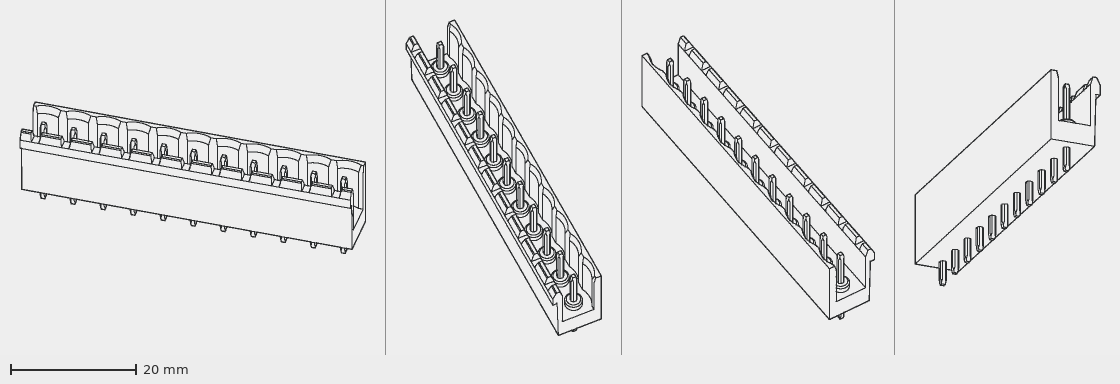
import cadquery as cq

LENGTH = 55.0
PIN_COUNT = 11
PITCH = LENGTH / PIN_COUNT

HOUSING_HEIGHT = 12.05
FLOOR_HEIGHT = 3.45
BACK_WALL = 1.3
BACK_WALL_RIM = 1.0
BACK_LEAD_IN_Z = 10.8
LATCH_WALL_INNER_Y = -6.9
OUTER_FOOT_Y = -7.6
OUTER_SHOULDER_Y = -7.8

HOOK_Y = -8.6
HOOK_UNDERSIDE_Z = 9.1
HOOK_SLOPE_Z = 10.7
CREST_INNER_Y = -7.3
CREST_OUTER_Y = -7.85
CREST_CHAMFER = 0.15

NOTCH_TOP_WIDTH = 1.7
NOTCH_FLOOR_WIDTH = 1.2

PIN_Y = -3.75
PIN_WIDTH = 1.05
PIN_EDGE_CHAMFER = 0.3
PIN_BOTTOM_Z = -3.95
PIN_TOP_Z = 11.05
TIP_LENGTH = 0.95
TIP_INSET = 0.2
COLLAR_DIAMETER = 2.85
COLLAR_TOP_Z = 4.6
COLLAR_CHAMFER = 0.3

RECESS_RADIUS = 3.7
RECESS_DEPTH = 0.45
RECESS_RIM_FLARE = 0.45
RECESS_AXIS_Y = RECESS_DEPTH - BACK_WALL - RECESS_RADIUS
RECESS_RIM_RADIUS = RECESS_RADIUS + RECESS_RIM_FLARE

pin_positions = [(i - (PIN_COUNT - 1) / 2) * PITCH for i in range(PIN_COUNT)]


def make_housing():
    """U-shaped section with a hooked latch wall, extruded along X."""
    section = [
        (0, 0),
        (0, HOUSING_HEIGHT),
        (-BACK_WALL_RIM, HOUSING_HEIGHT),
        (-BACK_WALL, BACK_LEAD_IN_Z),
        (-BACK_WALL, FLOOR_HEIGHT),
        (LATCH_WALL_INNER_Y, FLOOR_HEIGHT),
        (LATCH_WALL_INNER_Y, HOOK_SLOPE_Z),
        (CREST_INNER_Y, HOUSING_HEIGHT),
        (CREST_OUTER_Y, HOUSING_HEIGHT),
        (CREST_OUTER_Y - CREST_CHAMFER, HOUSING_HEIGHT - CREST_CHAMFER),
        (HOOK_Y, HOOK_SLOPE_Z),
        (HOOK_Y, HOOK_UNDERSIDE_Z),
        (OUTER_SHOULDER_Y, HOOK_UNDERSIDE_Z),
        (OUTER_FOOT_Y, 0),
    ]
    return cq.Workplane("YZ").polyline(section).close().extrude(LENGTH / 2, both=True)


def make_recess(x):
    """Back half of a cylinder that flares to a cone at the rim of the wall."""
    profile = [
        (0, FLOOR_HEIGHT),
        (RECESS_RADIUS, FLOOR_HEIGHT),
        (RECESS_RADIUS, BACK_LEAD_IN_Z),
        (RECESS_RIM_RADIUS, HOUSING_HEIGHT),
        (0, HOUSING_HEIGHT),
    ]
    half_turn = cq.Workplane("XZ").polyline(profile).close().revolve(180, (0, 0), (0, 1))
    return half_turn.translate((x, RECESS_AXIS_Y, 0))


def make_notch(x):
    """Trapezoidal cut across the hook crest."""
    profile = [
        (x - NOTCH_TOP_WIDTH / 2, HOUSING_HEIGHT),
        (x + NOTCH_TOP_WIDTH / 2, HOUSING_HEIGHT),
        (x + NOTCH_FLOOR_WIDTH / 2, HOOK_SLOPE_Z),
        (x - NOTCH_FLOOR_WIDTH / 2, HOOK_SLOPE_Z),
    ]
    notch = cq.Workplane("XZ", origin=(0, LATCH_WALL_INNER_Y, 0)).polyline(profile).close()
    return notch.extrude(LATCH_WALL_INNER_Y - HOOK_Y)


def make_pin(x):
    """Square pin with chamfered long edges, tapered tips and a round collar."""
    pin_base = cq.Workplane("XY", origin=(x, PIN_Y, PIN_BOTTOM_Z)).rect(PIN_WIDTH, PIN_WIDTH)
    square_bar = pin_base.extrude(PIN_TOP_Z - PIN_BOTTOM_Z)
    tapered_bar = square_bar.faces("<Z or >Z").chamfer(TIP_LENGTH, TIP_INSET)
    pin = tapered_bar.intersect(square_bar.edges("|Z").chamfer(PIN_EDGE_CHAMFER))
    collar = (
        cq.Workplane("XY", origin=(x, PIN_Y, 0))
        .circle(COLLAR_DIAMETER / 2)
        .extrude(COLLAR_TOP_Z)
        .faces(">Z")
        .chamfer(COLLAR_CHAMFER)
    )
    return pin.union(collar)


result = make_housing()
for x in pin_positions:
    result = result.cut(make_recess(x)).cut(make_notch(x))
for x in pin_positions:
    result = result.union(make_pin(x))